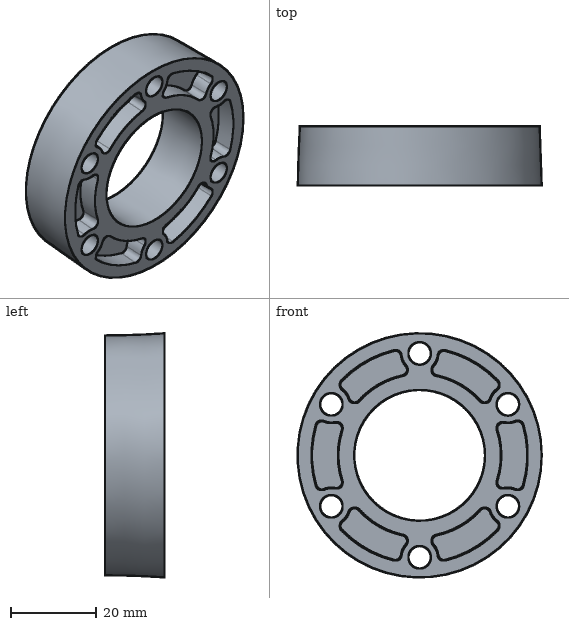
import cadquery as cq
import math

width = 13.95
wall_draft = 2.0
front_outer_radius = 28.6
front_bore_radius = 15.25
draft_offset = width * math.tan(math.radians(wall_draft))

repeat_count = 6
step_angle = 360 / repeat_count

hole_circle_radius = 23.85
hole_radius = 2.6

pocket_depth = 4.8
pocket_draft = 2.0
pocket_inner_radius = 19.0
pocket_outer_radius = 25.3
hole_clearance_radius = 4.25
corner_radius = 1.5


def front_plane():
    """Front face of the ring: local x is X, local y is -Z, and the normal points into the material."""
    return cq.Workplane(cq.Plane(origin=(0, 0, 0), xDir=(1, 0, 0), normal=(0, 1, 0)))


def polar_point(radius, angle):
    """Point at a radius and an angle in degrees about the ring axis."""
    return (radius * math.cos(math.radians(angle)), radius * math.sin(math.radians(angle)))


def point_towards(start, end, distance):
    """Point at a distance from start on the line to end."""
    share = distance / math.dist(start, end)
    return (start[0] + share * (end[0] - start[0]), start[1] + share * (end[1] - start[1]))


def midpoint(start, end):
    """Point halfway between two points."""
    return ((start[0] + end[0]) / 2, (start[1] + end[1]) / 2)


def mirrored(point):
    """Point reflected across the centre line of the pocket."""
    return (point[0], -point[1])


hole_center = polar_point(hole_circle_radius, step_angle / 2)


def ring():
    """Ring around Y with its front face at Y = 0."""
    profile = [
        (front_bore_radius, 0),
        (front_outer_radius, 0),
        (front_outer_radius - draft_offset, width),
        (front_bore_radius + draft_offset, width),
    ]
    return cq.Workplane("XY").polyline(profile).close().revolve(360, (0, 0), (0, 1))


def through_holes():
    """Round holes on a common circle, the first one in line with Z."""
    centers = front_plane().polarArray(hole_circle_radius, 90, 360, repeat_count)
    return centers.circle(hole_radius).extrude(width)


def corner_arc(center_radius, side_radius, inset):
    """Start, middle and end of the corner arc from a long side of the pocket to the hole clearance circle."""
    hole_distance = hole_clearance_radius + corner_radius
    squares = center_radius**2 + hole_circle_radius**2 - hole_distance**2
    angle_to_hole = math.degrees(math.acos(squares / (2 * center_radius * hole_circle_radius)))
    angle = step_angle / 2 - angle_to_hole
    center = polar_point(center_radius, angle)
    start = polar_point(side_radius, angle)
    end = point_towards(center, hole_center, corner_radius - inset)
    middle = point_towards(center, midpoint(start, end), corner_radius - inset)
    return start, middle, end


def pocket_outline(base, inset):
    """Pocket outline drawn on a workplane, moved inwards by the inset all the way round."""
    outer_side = pocket_outer_radius - inset
    inner_side = pocket_inner_radius + inset
    outer_start, outer_middle, outer_end = corner_arc(pocket_outer_radius - corner_radius, outer_side, inset)
    inner_start, inner_middle, inner_end = corner_arc(pocket_inner_radius + corner_radius, inner_side, inset)
    end_chord_middle = midpoint(outer_end, inner_end)
    clearance_middle = point_towards(hole_center, end_chord_middle, hole_clearance_radius + inset)
    return (
        base.moveTo(*mirrored(outer_start))
        .threePointArc((outer_side, 0), outer_start)
        .threePointArc(outer_middle, outer_end)
        .threePointArc(clearance_middle, inner_end)
        .threePointArc(inner_middle, inner_start)
        .threePointArc((inner_side, 0), mirrored(inner_start))
        .threePointArc(mirrored(inner_middle), mirrored(inner_end))
        .threePointArc(mirrored(clearance_middle), mirrored(outer_end))
        .threePointArc(mirrored(outer_middle), mirrored(outer_start))
        .close()
    )


def pocket():
    """Pocket centred on +X, lofted from its opening to a floor made smaller by the draft."""
    floor_inset = pocket_depth * math.tan(math.radians(pocket_draft))
    opening = pocket_outline(front_plane(), 0)
    return pocket_outline(opening.workplane(offset=pocket_depth), floor_inset).loft(ruled=True)


result = ring().cut(through_holes())
pocket_body = pocket()
for index in range(repeat_count):
    result = result.cut(pocket_body.rotate((0, 0, 0), (0, 1, 0), index * step_angle))